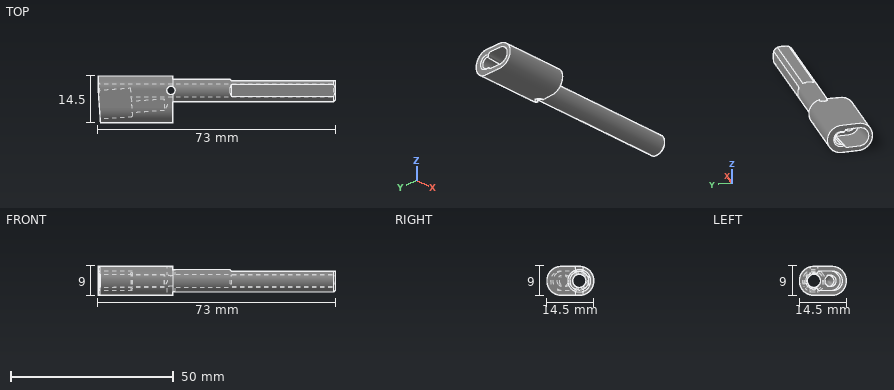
import cadquery as cq
import math

total_length = 73.0
head_length = 23.0
head_radius = 4.5
head_offset = 5.5

shank_radius = 3.5
shank_chamfer = 0.6

flat_start = 40.5
flat_distance = 3.0

bore_radius = 2.0
bore_chamfer = 0.5

pin_radius = 1.25
pin_x = 22.4

tilt_angle = 4.0
pocket_radius = 3.0
pocket_offset = 5.8
pocket_inner_edge = 0.8
pocket_corner_radius = 1.2
neck_edge_radius = 0.3
pocket_depth = 10.0
blind_radius = 1.75
blind_depth = 10.0
drill_point_angle = 118.0


def rod(radius, start, length):
    """Cylinder along the X axis."""
    return cq.Workplane("YZ", origin=(start, 0, 0)).circle(radius).extrude(length)


def tilted(shape):
    """Turn a shape built along the X axis onto the tilted axis."""
    return shape.rotate((0, 0, 0), (0, 0, 1), tilt_angle)


def make_head():
    return (
        cq.Workplane("YZ", origin=(0, -head_offset / 2, 0))
        .slot2D(head_offset + 2 * head_radius, 2 * head_radius)
        .extrude(head_length)
    )


def make_shank():
    shank = rod(shank_radius, 0, total_length)
    return shank.faces(">X").chamfer(shank_chamfer)


def mouth_relief():
    """Block that slopes the mouth face on the -Y side of the bore axis."""
    width = 2 * (head_offset + head_radius)
    block = cq.Workplane("XY").box(
        head_radius, width, 3 * head_radius, centered=(True, False, True)
    )
    return tilted(block.translate((-head_radius / 2, -width, 0)))


def pocket_block(inner_edge, height):
    """Block from the centre of the pocket's round side towards the bore."""
    width = pocket_offset - inner_edge
    return (
        cq.Workplane("XY")
        .box(pocket_depth, width, height, centered=(False, False, True))
        .translate((0, -pocket_offset, 0))
    )


def pocket():
    """Pocket with a round outer side, joined to the bore by a neck as wide as the bore."""
    rounded_side = rod(pocket_radius, 0, pocket_depth).translate((0, -pocket_offset, 0))
    straight_part = (
        pocket_block(pocket_inner_edge, 2 * pocket_radius)
        .edges("|X and >Y")
        .fillet(pocket_corner_radius)
    )
    neck = pocket_block(0, 2 * bore_radius)
    neck_region = cq.selectors.BoxSelector(
        (0, -pocket_inner_edge - pocket_corner_radius / 2, -pocket_radius),
        (pocket_depth, -pocket_inner_edge / 2, pocket_radius),
    )
    straight_part = (
        straight_part.union(neck)
        .edges("|X")
        .edges(neck_region)
        .fillet(neck_edge_radius)
    )
    return tilted(rounded_side.union(straight_part))


def blind_hole():
    """Drilled hole with a conical end, below the round side of the pocket."""
    point_length = blind_radius / math.tan(math.radians(drill_point_angle / 2))
    full_depth = pocket_depth + blind_depth
    drill = (
        cq.Workplane("XY")
        .polyline([
            (0, 0),
            (0, blind_radius),
            (full_depth, blind_radius),
            (full_depth + point_length, 0),
        ])
        .close()
        .revolve(360, (0, 0, 0), (1, 0, 0))
    )
    return tilted(drill.translate((0, -pocket_offset, 0)))


def bore():
    mouth_radius = bore_radius + bore_chamfer
    mouth = cq.Workplane(cq.Solid.makeCone(
        mouth_radius, bore_radius, bore_chamfer, cq.Vector(0, 0, 0), cq.Vector(1, 0, 0)
    ))
    return rod(bore_radius, 0, total_length).union(mouth)


def pin_hole():
    return (
        cq.Workplane("XY", origin=(pin_x, 0, -head_radius))
        .circle(pin_radius)
        .extrude(2 * head_radius)
    )


def top_flat():
    """Material above the +Z flat, with a 45 degree run-out at its inner end."""
    rise = shank_radius - flat_distance
    return (
        cq.Workplane("XZ")
        .polyline([
            (flat_start, shank_radius),
            (flat_start + rise, flat_distance),
            (total_length, flat_distance),
            (total_length, shank_radius),
        ])
        .close()
        .extrude(shank_radius, both=True)
    )


result = make_head().union(make_shank())
for flat_turn in (0, -90):
    result = result.cut(top_flat().rotate((0, 0, 0), (1, 0, 0), flat_turn))
for cutter in (mouth_relief(), pocket(), blind_hole(), bore(), pin_hole()):
    result = result.cut(cutter)